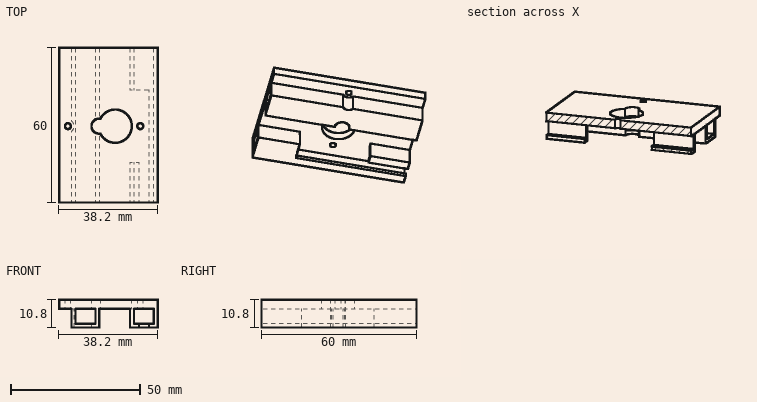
import cadquery as cq

width = 38.2
length = 60.0
height = 10.8

plate_thickness = 3.6
rail_width = 10.8
rail_wall = 1.6
rail_floor = 1.5
left_rail_x = 4.8
right_rail_x = width - rail_width
rail_height = height - plate_thickness

opening_offset = 0.4
opening_y = length / 2 - opening_offset

slot_width = 3.8
slot_left_x = right_rail_x + (rail_width - slot_width) / 2
slot_right_x = slot_left_x + slot_width

cutout_length = 28.0
cutout_width = slot_right_x - right_rail_x
cutout_front_y = opening_y - cutout_length / 2

screw_diameter = 2.2
screw_head_diameter = 4.8
screw_spacing = 28.0
left_screw_x = 3.4
right_screw_x = left_screw_x + screw_spacing

opening_diameter = 12.8
opening_x = 21.7
lobe_diameter = 5.7
lobe_x = 15.4


def box(x, y, z, size_x, size_y, size_z):
    """Box given by its lowest corner and its size."""
    return cq.Workplane("XY").box(size_x, size_y, size_z, centered=False).translate((x, y, z))


def vertical_cylinder(x, diameter, depth):
    """Cylinder rising from the bottom plane on the line of openings."""
    return cq.Workplane("XY").center(x, opening_y).circle(diameter / 2).extrude(depth)


def rail(x):
    """Box rail with a rectangular channel running its full length."""
    outside = box(x, 0, 0, rail_width, length, rail_height)
    channel_width = rail_width - 2 * rail_wall
    channel_height = rail_height - rail_floor
    channel = box(x + rail_wall, 0, rail_floor, channel_width, length, channel_height)
    return outside.cut(channel)


def left_rail():
    """Full-length rail, notched for the head of the left screw."""
    return rail(left_rail_x).cut(vertical_cylinder(left_screw_x, screw_head_diameter, rail_height))


def right_rail():
    """Rail with the floor slot and the cutout; its outer wall stays whole."""
    cutout = box(right_rail_x, cutout_front_y, 0, cutout_width, cutout_length, rail_height)
    slot = box(slot_left_x, 0, 0, slot_width, cutout_front_y, rail_floor)
    return rail(right_rail_x).cut(cutout).cut(slot)


body = box(0, 0, rail_height, width, length, plate_thickness)
body = body.union(left_rail()).union(right_rail())

for screw_x in (left_screw_x, right_screw_x):
    body = body.cut(vertical_cylinder(screw_x, screw_diameter, height))

body = body.cut(vertical_cylinder(opening_x, opening_diameter, height))
body = body.cut(vertical_cylinder(lobe_x, lobe_diameter, height))

result = body